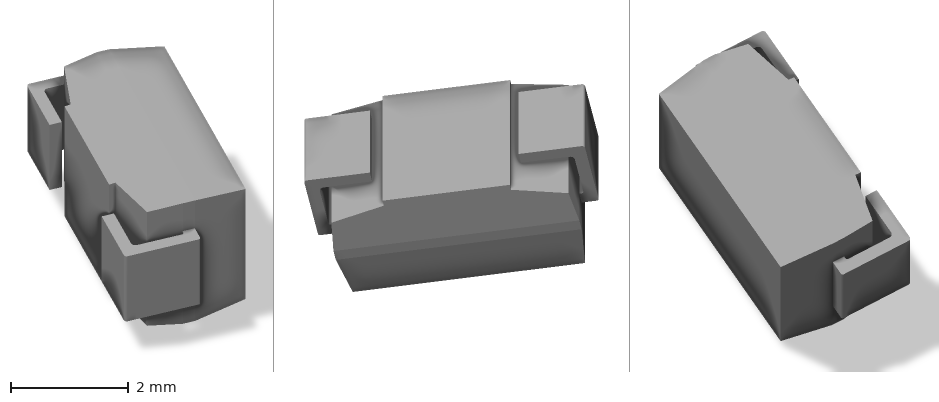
import cadquery as cq


package_length = 4.24
package_width = 2.67
package_back = 2.34
standoff = 0.205
band_thickness = 0.225
draft_angle = 7.0
draft_depth = (package_back - standoff - band_thickness) / 2
band_front = standoff + draft_depth
band_back = band_front + band_thickness

pad_length = 2.195
relief_step = 0.11
relief_outer_y = 0.54
relief_half_length = 2.045

overall_length = 4.84
lead_width = 1.44
lead_thickness = 0.225
lead_back = 1.375
foot_length = 1.135
shoulder_radius = 0.04
heel_radius = 0.055
heel_inner_radius = 0.077
shoulder_inner_radius = 0.04


def tapered_half(start_y, depth):
    """Return a drafted block from the band edge at start_y; a negative depth runs toward -Y."""
    plane = cq.Plane(origin=(0, start_y, 0), xDir=(1, 0, 0), normal=(0, 1 if depth > 0 else -1, 0))
    return cq.Workplane(plane).rect(package_length, package_width).extrude(abs(depth), taper=draft_angle)


def end_relief(side):
    """Return the cutter that slopes the mounting face away from the pad at one end (side = -1 or 1)."""
    step_x = pad_length / 2
    step_y = standoff + relief_step
    slope = (relief_outer_y - step_y) / (relief_half_length - step_x)
    end_x = package_length / 2
    end_y = step_y + slope * (end_x - step_x)
    return (
        cq.Workplane("XY")
        .moveTo(side * step_x, 0)
        .lineTo(side * step_x, step_y)
        .lineTo(side * end_x, end_y)
        .lineTo(side * end_x, 0)
        .close()
        .extrude(package_width / 2, both=True)
    )


def make_package():
    """Return the moulded package: a straight band with drafted blocks on both sides and two end reliefs."""
    band_centre = (0, (band_front + band_back) / 2, 0)
    package = cq.Workplane("XY").box(package_length, band_thickness, package_width).translate(band_centre)
    package = package.union(tapered_half(band_back, draft_depth))
    package = package.union(tapered_half(band_front, -draft_depth))
    for side in (-1, 1):
        package = package.cut(end_relief(side))
    return package


def make_lead(side):
    """Return the C-shaped lead that meets the band at one end (side = -1 or 1)."""
    outer_x = side * overall_length / 2
    inner_x = side * (overall_length / 2 - lead_thickness)
    root_x = side * package_length / 2
    toe_x = side * (overall_length / 2 - foot_length)
    shoulder_front = lead_back - lead_thickness
    lead = (
        cq.Workplane("XY")
        .moveTo(root_x, lead_back)
        .lineTo(outer_x, lead_back)
        .lineTo(outer_x, 0)
        .lineTo(toe_x, 0)
        .lineTo(toe_x, lead_thickness)
        .lineTo(inner_x, lead_thickness)
        .lineTo(inner_x, shoulder_front)
        .lineTo(root_x, shoulder_front)
        .close()
        .extrude(lead_width / 2, both=True)
    )
    bends = (
        (outer_x, lead_back, shoulder_radius),
        (outer_x, 0, heel_radius),
        (inner_x, lead_thickness, heel_inner_radius),
        (inner_x, shoulder_front, shoulder_inner_radius),
    )
    for x, y, radius in bends:
        lead = lead.edges(cq.selectors.NearestToPointSelector((x, y, 0))).fillet(radius)
    return lead


package = make_package()
leads = [make_lead(side) for side in (-1, 1)]

result = cq.Compound.makeCompound([package.solids().val(), *[lead.solids().val() for lead in leads]])